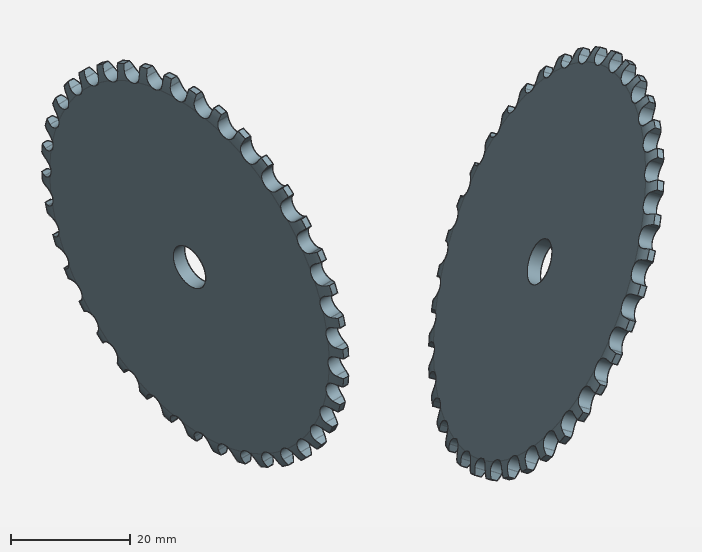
import cadquery as cq
import math

tooth_count = 38
tip_radius = 37.5
thickness = 2.6
bore_diameter = 8.0
face_radius = 34.65
side_curve_radius = 6.0
seat_radius = 2.0
flank_angle = 6.0
root_radius = 34.35

half_thickness = thickness / 2
seat_center_radius = root_radius + seat_radius
pitch_angle = 360 / tooth_count


def side_inset(radius):
    """How far the curved tooth side has moved in from the flat face."""
    rise = radius - face_radius
    return side_curve_radius - math.sqrt(side_curve_radius**2 - rise**2)


def make_blank():
    """Revolve the half section of the disc, with curved sides at the rim, about Y."""
    tip_half_width = half_thickness - side_inset(tip_radius)
    middle_radius = (face_radius + tip_radius) / 2
    middle_half_width = half_thickness - side_inset(middle_radius)
    bore_radius = bore_diameter / 2
    return (
        cq.Workplane("XY")
        .moveTo(bore_radius, -half_thickness)
        .lineTo(face_radius, -half_thickness)
        .threePointArc((middle_radius, -middle_half_width), (tip_radius, -tip_half_width))
        .lineTo(tip_radius, tip_half_width)
        .threePointArc((middle_radius, middle_half_width), (face_radius, half_thickness))
        .lineTo(bore_radius, half_thickness)
        .close()
        .revolve(360, (0, 0, 0), (0, 1, 0))
    )


def make_gap():
    """Round-bottomed slot with tangent flanks that spread outwards, centred on +X."""
    flank_tilt = math.radians(flank_angle)
    flank_start = seat_center_radius - seat_radius * math.sin(flank_tilt)
    start_half_width = seat_radius * math.cos(flank_tilt)
    open_end = tip_radius + seat_radius
    open_half_width = start_half_width + (open_end - flank_start) * math.tan(flank_tilt)
    return (
        cq.Workplane("XZ")
        .moveTo(open_end, -open_half_width)
        .lineTo(flank_start, -start_half_width)
        .threePointArc((root_radius, 0), (flank_start, start_half_width))
        .lineTo(open_end, open_half_width)
        .close()
        .extrude(thickness, both=True)
    )


gap = make_gap().val()
gaps = [gap.rotate((0, 0, 0), (0, 1, 0), index * pitch_angle) for index in range(tooth_count)]
result = cq.Workplane(make_blank().val().cut(*gaps))